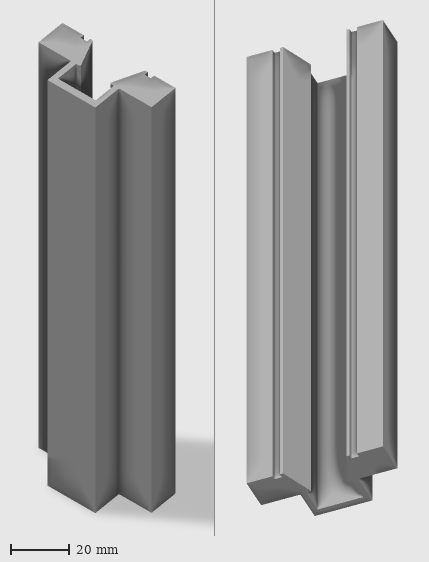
import cadquery as cq

length = 190.5
width = 50.9
depth = 25.3

channel_width = 21.5
wall = 2.3
floor_thickness = 2.9

wing_depth = 12.8
lip_gap = 13.3
mouth_gap = 23.6

lip_chamfer = 0.4
corner_radius = 0.4

groove_width = 2.9
groove_depth = 1.7
groove_inner = 13.0

back_y = depth / 2
front_y = -depth / 2
wing_front_y = back_y - wing_depth
channel_floor_y = front_y + floor_thickness
groove_floor_y = back_y - groove_depth

channel_outer = channel_width / 2
channel_inner = channel_outer - wall
groove_outer = groove_inner + groove_width

right_half = [
    (0, channel_floor_y),
    (channel_inner, channel_floor_y),
    (channel_inner, wing_front_y),
    (lip_gap / 2 + lip_chamfer, wing_front_y),
    (lip_gap / 2, wing_front_y + lip_chamfer),
    (mouth_gap / 2, back_y),
    (groove_inner, back_y),
    (groove_inner, groove_floor_y),
    (groove_outer, groove_floor_y),
    (groove_outer, back_y),
    (width / 2, back_y),
    (width / 2, wing_front_y),
    (channel_outer, wing_front_y),
    (channel_outer, front_y),
    (0, front_y),
]

rail = (
    cq.Workplane("XY")
    .workplane(offset=-length / 2)
    .polyline(right_half)
    .mirrorY()
    .extrude(length)
)

result = rail
for side in (-1, 1):
    corner = (side * channel_outer, wing_front_y, 0)
    result = result.edges(cq.selectors.NearestToPointSelector(corner)).fillet(corner_radius)